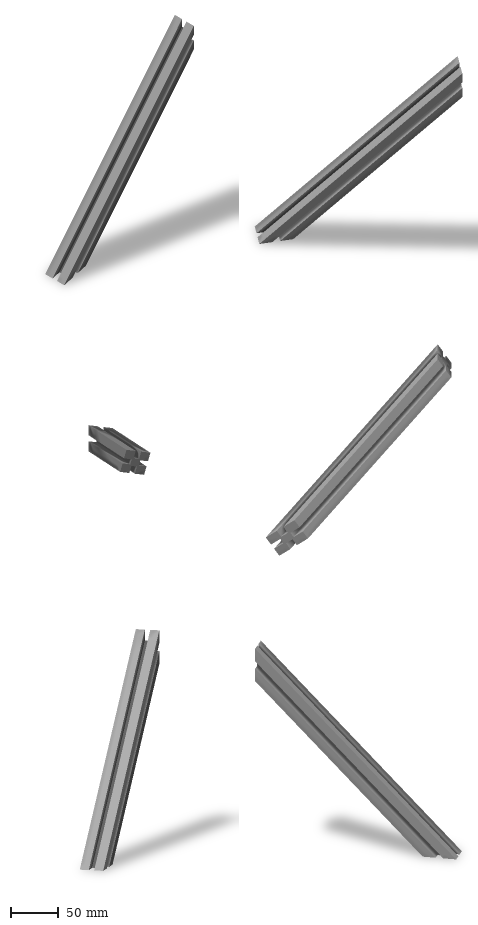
import cadquery as cq
import math

SPAN = 215.5
BAR_SIDE = 25.5
SLOT_WIDTH = 5.8
SLOT_DEPTH = 8.2

half_side = BAR_SIDE / 2
bar_length = math.hypot(SPAN, SPAN)

section_plane = cq.Plane(
    origin=(0, 0, 0),
    xDir=(1, 0, 0),
    normal=(0, -1, -1),
)


def slotted_section():
    """Square sketch with a straight slot in the middle of every face."""
    section = cq.Sketch().rect(BAR_SIDE, BAR_SIDE)
    slot_center = half_side - SLOT_DEPTH / 2
    for direction in (-1, 1):
        offset = direction * slot_center
        section = section.push([(offset, 0)]).rect(SLOT_DEPTH, SLOT_WIDTH, mode="s").reset()
        section = section.push([(0, offset)]).rect(SLOT_WIDTH, SLOT_DEPTH, mode="s").reset()
    return section


bar = (
    cq.Workplane(section_plane)
    .center(0, -half_side)
    .placeSketch(slotted_section())
    .extrude(2 * bar_length, both=True)
)

mitre_limits = cq.Workplane("XY").box(BAR_SIDE, SPAN, SPAN, centered=(True, False, False))

result = bar.intersect(mitre_limits)